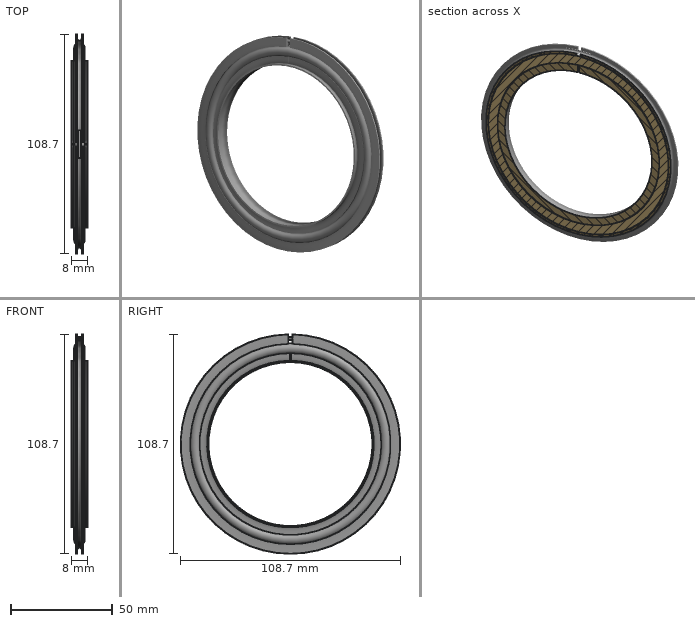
import cadquery as cq
import math

SEAL_RADIUS = 47.25
CORD_RADIUS = 2.7
SEAT_LIP_OFFSET = 2.32

BAND_WIDTH = 8.0
BAND_INNER_RADIUS = 40.5
BAND_OUTER_RADIUS = 41.3
INNER_SLIT = 0.5

WEB_WIDTH = 3.7
OUTER_RADIUS = 54.35
OUTER_GAP = 2.0
GROOVE_RADIUS = 1.1
GROOVE_CENTRE_RADIUS = 52.35

TUBE_RADIUS = 0.9
TUBE_BORE_RADIUS = 0.65
TUBE_SPAN = 13.6

SLIT_REACH = 1.1 * OUTER_RADIUS
half_web = WEB_WIDTH / 2
half_band = BAND_WIDTH / 2


def revolve_about_x(profile, angle=360):
    return profile.revolve(angle, (0, 0, 0), (1, 0, 0))


def slit(width):
    """Block that cuts a ring open at +Z."""
    return cq.Workplane("XY").box(BAND_WIDTH, width, SLIT_REACH, centered=(True, True, False))


def make_o_ring():
    section = (
        cq.Workplane("XZ")
        .center(0, SEAL_RADIUS)
        .circle(CORD_RADIUS)
        .center(0, -SEAL_RADIUS)
    )
    return revolve_about_x(section)


def make_inner_ring():
    lip_radius = SEAL_RADIUS - SEAT_LIP_OFFSET
    profile = (
        cq.Workplane("XZ")
        .moveTo(-half_band, BAND_INNER_RADIUS)
        .lineTo(half_band, BAND_INNER_RADIUS)
        .lineTo(half_band, BAND_OUTER_RADIUS)
        .lineTo(half_web, BAND_OUTER_RADIUS)
        .lineTo(half_web, lip_radius)
        .threePointArc((0, SEAL_RADIUS - CORD_RADIUS), (-half_web, lip_radius))
        .lineTo(-half_web, BAND_OUTER_RADIUS)
        .lineTo(-half_band, BAND_OUTER_RADIUS)
        .close()
    )
    return revolve_about_x(profile).cut(slit(INNER_SLIT))


def make_outer_ring():
    lip_radius = SEAL_RADIUS + SEAT_LIP_OFFSET
    profile = (
        cq.Workplane("XZ")
        .moveTo(-half_web, lip_radius)
        .threePointArc((0, SEAL_RADIUS + CORD_RADIUS), (half_web, lip_radius))
        .lineTo(half_web, OUTER_RADIUS)
        .lineTo(GROOVE_RADIUS, OUTER_RADIUS)
        .lineTo(GROOVE_RADIUS, GROOVE_CENTRE_RADIUS)
        .threePointArc((0, GROOVE_CENTRE_RADIUS - GROOVE_RADIUS), (-GROOVE_RADIUS, GROOVE_CENTRE_RADIUS))
        .lineTo(-GROOVE_RADIUS, OUTER_RADIUS)
        .lineTo(-half_web, OUTER_RADIUS)
        .close()
    )
    return revolve_about_x(profile).cut(slit(OUTER_GAP))


def make_tube():
    sweep = 2 * math.degrees(math.asin(TUBE_SPAN / 2 / GROOVE_CENTRE_RADIUS))
    section = (
        cq.Workplane("XZ")
        .center(0, GROOVE_CENTRE_RADIUS)
        .circle(TUBE_RADIUS)
        .circle(TUBE_BORE_RADIUS)
        .center(0, -GROOVE_CENTRE_RADIUS)
    )
    return revolve_about_x(section, sweep).rotate((0, 0, 0), (1, 0, 0), -sweep / 2)


o_ring = make_o_ring()
inner_ring = make_inner_ring()
outer_ring = make_outer_ring()
tube = make_tube()

result = cq.Compound.makeCompound([o_ring.val(), inner_ring.val(), outer_ring.val(), tube.val()])